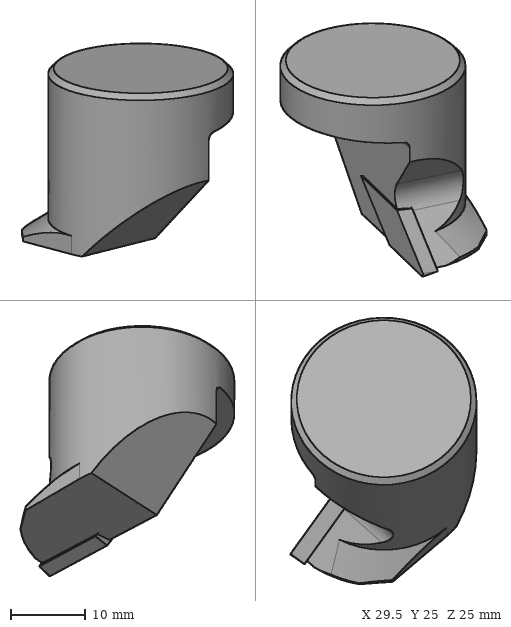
import cadquery as cq
import math


shank_diameter = 25.0
shank_radius = shank_diameter / 2
head_height = 25.0
top_chamfer = 0.77
heel_start_depth = 13.15
bottom_depth = 23.7
bottom_angle = 2.4

cone_top_depth = 21.1
cone_bottom_depth = 23.87
nose_radius = 16.45
nose_flat_end_x = -9.8
nose_corner_x = -13.48
nose_corner_y = -9.55

gullet_radius = 2.95
gullet_offset = 1.6
gullet_depth = 16.45
gullet_upper_angle = 51.5
gullet_lower_angle = 38.0

rake_angle = 3.0
ledge_depth = 6.73
ledge_angle = 4.5
ledge_fillet = 1.05

overall_length = 29.5
insert_tip_x = shank_radius - overall_length
insert_side = 10.92
insert_thickness = 2.35
insert_point_angle = 35.0
insert_rise_angle = 3.0
insert_clearance = 7.0
insert_tip_radius = 0.32
insert_proud = 0.25

clear = 2 * head_height


def tan(angle):
    return math.tan(math.radians(angle))


def polar(length, angle):
    return length * math.cos(math.radians(angle)), length * math.sin(math.radians(angle))


def shift(point, step):
    return point[0] + step[0], point[1] + step[1]


def prism_along_y(outline):
    """Extrude a closed XZ outline through the whole part."""
    return outline.extrude(clear, both=True)


def make_shank():
    shank = cq.Workplane("XY").circle(shank_radius).extrude(-head_height)
    return shank.faces(">Z").edges().chamfer(top_chamfer)


def make_nose():
    """Cone flaring out below the shank, trimmed in plan to its cutting side."""
    cone = (
        cq.Workplane("XZ")
        .moveTo(0, -cone_top_depth)
        .lineTo(shank_radius, -cone_top_depth)
        .lineTo(nose_radius, -cone_bottom_depth)
        .lineTo(nose_radius, -head_height)
        .lineTo(0, -head_height)
        .close()
        .revolve(360, (0, 0, 0), (0, 1, 0))
    )
    plan = (
        cq.Workplane("XY")
        .moveTo(0, -shank_radius)
        .lineTo(nose_flat_end_x, -shank_radius)
        .lineTo(nose_corner_x, nose_corner_y)
        .lineTo(-nose_radius, nose_corner_y)
        .lineTo(-nose_radius, shank_radius)
        .lineTo(0, shank_radius)
        .close()
        .extrude(-head_height)
    )
    return cone.intersect(plan)


def make_bottom_cut():
    """Everything under the slightly tilted bottom face."""
    rise = clear * tan(bottom_angle)
    return prism_along_y(
        cq.Workplane("XZ").polyline([
            (-clear, -bottom_depth - rise),
            (clear, -bottom_depth + rise),
            (clear, -clear),
            (-clear, -clear),
        ]).close()
    )


def make_heel_cut():
    """45 degree relief on the side away from the nose."""
    return prism_along_y(
        cq.Workplane("XZ").polyline([
            (shank_radius, -heel_start_depth),
            (shank_radius, -heel_start_depth - clear),
            (shank_radius - clear, -heel_start_depth - clear),
        ]).close()
    )


def rake_plane(offset=0):
    """Plane parallel to the rake face, facing the nose: local X along the face, local Y up."""
    along_x, along_y = polar(1, rake_angle)
    return cq.Plane(
        (-shank_radius + offset * along_y, -offset * along_x, 0),
        (along_x, along_y, 0),
        (along_y, -along_x, 0),
    )


def make_gullet_cut():
    """Round-bottomed V, open toward -X and square to the rake face."""
    centre = (gullet_offset, -gullet_depth)
    upper = shift(centre, polar(gullet_radius, 90 - gullet_upper_angle))
    middle = shift(centre, (gullet_radius, 0))
    lower = shift(centre, polar(gullet_radius, gullet_lower_angle - 90))
    return (
        cq.Workplane(rake_plane())
        .moveTo(*shift(upper, polar(clear, 180 - gullet_upper_angle)))
        .lineTo(*upper)
        .threePointArc(middle, lower)
        .lineTo(*shift(lower, polar(clear, 180 + gullet_lower_angle)))
        .close()
        .extrude(clear, both=True)
    )


def make_rake_cut():
    """Space behind the rake face and below the ledge, with a rounded inner corner."""
    along_x, along_y = polar(1, rake_angle)
    section = cq.Plane((-shank_radius, 0, 0), (-along_y, along_x, 0), (along_x, along_y, 0))
    return (
        cq.Workplane(section)
        .polyline([
            (0, -ledge_depth),
            (clear, -ledge_depth + clear * tan(ledge_angle)),
            (clear, -clear),
            (0, -clear),
        ])
        .close()
        .extrude(clear, both=True)
        .edges(cq.selectors.NearestToPointSelector((-shank_radius, 0, -ledge_depth)))
        .fillet(ledge_fillet)
    )


def make_insert():
    """Rhombic plate parallel to the rake face, narrowing toward its back."""
    rake_cosine, rake_sine = polar(1, rake_angle)
    tip_reach = (insert_tip_x + shank_radius + insert_proud * rake_sine) / rake_cosine
    tip_centre = (tip_reach + insert_tip_radius, -head_height + insert_tip_radius)
    upper_angle = insert_rise_angle + insert_point_angle
    middle_angle = insert_rise_angle + insert_point_angle / 2
    to_corner = insert_tip_radius / math.sin(math.radians(insert_point_angle / 2))
    sharp_corner = shift(tip_centre, polar(to_corner, 180 + middle_angle))
    lower_end = shift(sharp_corner, polar(insert_side, insert_rise_angle))
    upper_end = shift(sharp_corner, polar(insert_side, upper_angle))
    far_corner = shift(lower_end, polar(insert_side, upper_angle))
    return (
        cq.Workplane(rake_plane(-insert_proud))
        .moveTo(*shift(tip_centre, polar(insert_tip_radius, upper_angle + 90)))
        .threePointArc(
            shift(tip_centre, polar(insert_tip_radius, middle_angle + 180)),
            shift(tip_centre, polar(insert_tip_radius, insert_rise_angle - 90)),
        )
        .lineTo(*lower_end)
        .lineTo(*far_corner)
        .lineTo(*upper_end)
        .close()
        .extrude(insert_thickness, taper=insert_clearance)
    )


insert = make_insert()

head = make_shank().union(make_nose())
for cutter in (make_bottom_cut(), make_heel_cut(), make_gullet_cut(), make_rake_cut()):
    head = head.cut(cutter)
head = head.cut(insert)

result = cq.Compound.makeCompound([head.val(), insert.val()])